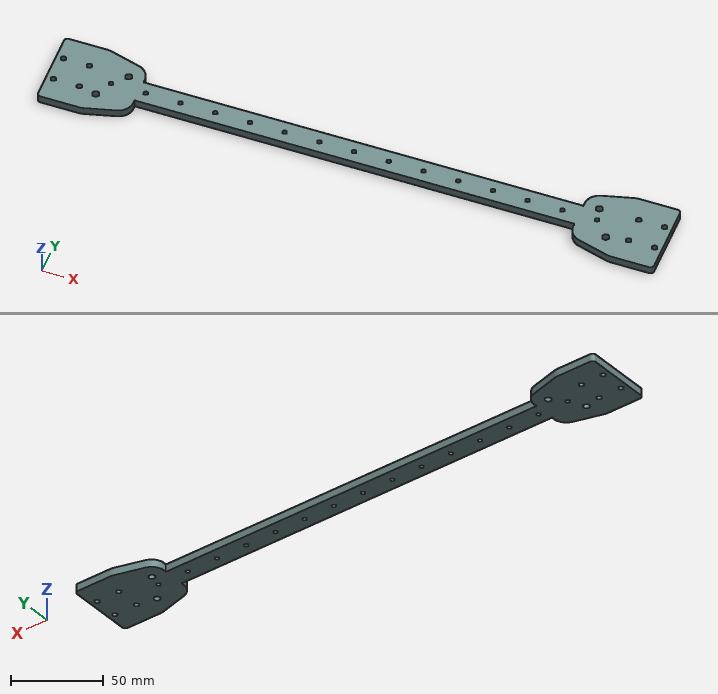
import cadquery as cq
import math

length = 355.0
head_width = 44.0
thickness = 5.0

head_length = 50.8
strip_width = 14.0
straight_side_length = 25.5
taper_angle = 15.0
outer_corner_radius = 2.0
taper_start_radius = 10.5
shoulder_radius = 8.5

row_hole_count = 15
row_span = 280.0
row_pitch = row_span / (row_hole_count - 1)
row_center_x = -3.0
row_hole_diameter = 2.5

group_pitch_x = 15.0
group_pitch_y = 15.5
group_edge_inset = 4.3
group_hole_diameter = 3.0

large_hole_diameter = 4.0
large_hole_centers = [(-135.5, 7.8), (135.5, 7.8), (-148.0, -10.0), (146.0, -10.0)]


def vertical_edges_near(plate, points):
    """Select the vertical edges standing at the given outline corners."""
    tolerance = 0.05
    edges = []
    for x, y in points:
        box = cq.selectors.BoxSelector(
            (x - tolerance, y - tolerance, -thickness),
            (x + tolerance, y + tolerance, thickness),
        )
        edges += plate.edges("|Z").edges(box).vals()
    return plate.newObject(edges)


def mirrored_corners(x, y):
    return [(sx * x, sy * y) for sx in (-1, 1) for sy in (-1, 1)]


def make_head(side):
    """Tapered, rounded head at the -X (side = -1) or +X (side = 1) end."""
    end_x = length / 2
    inner_x = end_x - head_length
    taper_x = end_x - straight_side_length
    half_width = head_width / 2
    taper_drop = (taper_x - inner_x) * math.tan(math.radians(taper_angle))
    shoulder_y = half_width - taper_drop
    outline = [
        (end_x, half_width),
        (taper_x, half_width),
        (inner_x, shoulder_y),
        (inner_x, -shoulder_y),
        (taper_x, -half_width),
        (end_x, -half_width),
    ]
    head = (
        cq.Workplane("XY")
        .polyline([(side * x, y) for x, y in outline])
        .close()
        .extrude(thickness / 2, both=True)
    )
    roundings = [
        (end_x, half_width, outer_corner_radius),
        (taper_x, half_width, taper_start_radius),
        (inner_x, shoulder_y, shoulder_radius),
    ]
    for x, y, radius in roundings:
        corners = [(side * x, y), (side * x, -y)]
        head = vertical_edges_near(head, corners).fillet(radius)
    return head


def through_holes(centers, diameter):
    return (
        cq.Workplane("XY")
        .pushPoints(centers)
        .circle(diameter / 2)
        .extrude(thickness, both=True)
    )


strip_length = length - 2 * straight_side_length
strip = cq.Workplane("XY").box(strip_length, strip_width, thickness)
plate = strip.union(make_head(-1)).union(make_head(1))

row_start = row_center_x - row_span / 2
row_centers = [(row_start + i * row_pitch, 0) for i in range(row_hole_count)]

group_outer_x = length / 2 - group_edge_inset
group_centers = []
for x in (group_outer_x, group_outer_x - group_pitch_x):
    group_centers += mirrored_corners(x, group_pitch_y / 2)

result = (
    plate.cut(through_holes(row_centers, row_hole_diameter))
    .cut(through_holes(group_centers, group_hole_diameter))
    .cut(through_holes(large_hole_centers, large_hole_diameter))
)